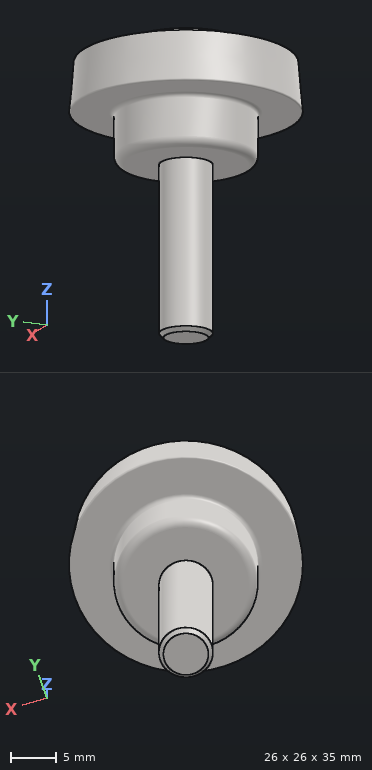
import cadquery as cq
import math

stud_radius = 3.0
stud_length = 20.0
stud_chamfer = 0.5

collar_radius = 8.0
collar_height = 6.0
collar_edge_radius = 1.0
collar_root_radius = 0.5

head_max_radius = 13.0
head_taper = math.radians(5.0)
head_height = 6.0
head_edge_radius = 0.2

dome_radius = 10.75
dome_height = 3.0

stud_tip_z = 0.0
collar_bottom_z = stud_tip_z + stud_length
head_bottom_z = collar_bottom_z + collar_height
head_top_z = head_bottom_z + head_height


def make_stud():
    """Plain pin with a chamfered tip, ending at the collar."""
    stud = cq.Workplane("XY", origin=(0, 0, stud_tip_z)).circle(stud_radius).extrude(stud_length)
    return stud.faces("<Z").chamfer(stud_chamfer)


def make_collar():
    """Cylinder with a rounded lower edge and a concave fillet flaring out under the head."""
    root_start_z = head_bottom_z - collar_root_radius
    root_end_radius = collar_radius + collar_root_radius
    diagonal = math.sqrt(0.5)
    edge_center_r = collar_radius - collar_edge_radius
    edge_center_z = collar_bottom_z + collar_edge_radius
    edge_mid = (edge_center_r + collar_edge_radius * diagonal, edge_center_z - collar_edge_radius * diagonal)
    root_mid = (root_end_radius - collar_root_radius * diagonal, root_start_z + collar_root_radius * diagonal)
    profile = (
        cq.Workplane("XZ")
        .moveTo(0, collar_bottom_z)
        .lineTo(edge_center_r, collar_bottom_z)
        .threePointArc(edge_mid, (collar_radius, edge_center_z))
        .lineTo(collar_radius, root_start_z)
        .threePointArc(root_mid, (root_end_radius, head_bottom_z))
        .lineTo(0, head_bottom_z)
        .close()
    )
    return profile.revolve(360, (0, 0, 0), (0, 1, 0))


def make_head():
    """Rim that narrows towards the top, with both outer edges rounded."""
    rounding_loss = head_edge_radius * (math.tan(head_taper) + 1 / math.cos(head_taper) - 1)
    head_bottom_radius = head_max_radius + rounding_loss
    head_top_radius = head_bottom_radius - head_height * math.tan(head_taper)
    profile = (
        cq.Workplane("XZ")
        .moveTo(0, head_bottom_z)
        .lineTo(head_bottom_radius, head_bottom_z)
        .lineTo(head_top_radius, head_top_z)
        .lineTo(0, head_top_z)
        .close()
    )
    head = profile.revolve(360, (0, 0, 0), (0, 1, 0))
    return head.edges("%CIRCLE").fillet(head_edge_radius)


def make_dome():
    """Spherical cap standing on the flat top of the head."""
    sphere_radius = (dome_radius**2 + dome_height**2) / (2 * dome_height)
    mid_angle = math.asin(dome_radius / sphere_radius) / 2
    sphere_center_z = head_top_z + dome_height - sphere_radius
    arc_mid = (sphere_radius * math.sin(mid_angle), sphere_center_z + sphere_radius * math.cos(mid_angle))
    profile = (
        cq.Workplane("YZ")
        .moveTo(0, head_top_z)
        .lineTo(dome_radius, head_top_z)
        .threePointArc(arc_mid, (0, head_top_z + dome_height))
        .close()
    )
    return profile.revolve(360, (0, 0, 0), (0, 1, 0))


result = make_stud().union(make_collar()).union(make_head()).union(make_dome())